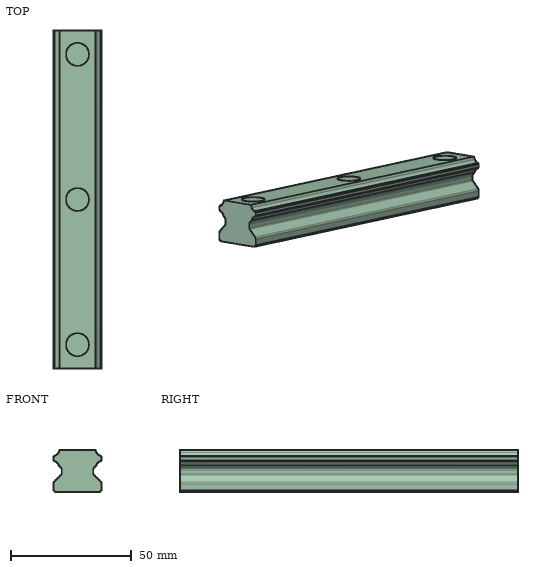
import cadquery as cq

length = 140.0
width = 20.0
height = 17.5
half_width = width / 2

top_half_width = 7.4
groove_half_width = 7.8
groove_radius = 2.4
upper_groove_top = 16.5
lower_groove_bottom = 11.0
lip_top = 15.1
lip_bottom = 12.7
lip_chamfer = 0.5

waist_half_width = 6.6
waist_bottom = 7.4
waist_top = lower_groove_bottom - (groove_half_width - waist_half_width)
waist_top_fillet = 1.1
waist_bottom_fillet = 0.5
foot_top = waist_bottom - (half_width - waist_half_width)
foot_fillet = 1.3
bottom_chamfer = 0.8

cap_diameter = 9.5
cap_pitch = 60.0
cap_count = 3
cap_recess = 0.1


def half_section():
    """Right half of the rail section, before rounding, closed along the Z axis."""
    lip_inner = half_width - lip_chamfer
    return (
        cq.Workplane("XZ")
        .lineTo(half_width - bottom_chamfer, 0)
        .lineTo(half_width, bottom_chamfer)
        .lineTo(half_width, foot_top)
        .lineTo(waist_half_width, waist_bottom)
        .lineTo(waist_half_width, waist_top)
        .lineTo(groove_half_width, lower_groove_bottom)
        .radiusArc((lip_inner, lip_bottom), groove_radius)
        .lineTo(half_width, lip_bottom + lip_chamfer)
        .lineTo(half_width, lip_top - lip_chamfer)
        .lineTo(lip_inner, lip_top)
        .radiusArc((groove_half_width, upper_groove_top), groove_radius)
        .lineTo(top_half_width, height)
        .lineTo(0, height)
        .close()
    )


def fillet_long_edge(body, x, z, radius):
    """Round the lengthwise edge that passes through (x, z)."""
    edge = cq.selectors.NearestToPointSelector((x, 0, z))
    return body.edges("|Y").edges(edge).fillet(radius)


def rail():
    half = half_section().extrude(length / 2, both=True)
    for x, z, radius in (
        (half_width, foot_top, foot_fillet),
        (waist_half_width, waist_bottom, waist_bottom_fillet),
        (waist_half_width, waist_top, waist_top_fillet),
    ):
        half = fillet_long_edge(half, x, z, radius)
    return half.union(half.mirror("YZ"))


def cap_recesses():
    return (
        cq.Workplane("XY", origin=(0, 0, height - cap_recess))
        .rarray(1.4, cap_pitch, 1, cap_count)
        .circle(cap_diameter / 2)
        .extrude(cap_recess)
    )


result = rail().cut(cap_recesses())